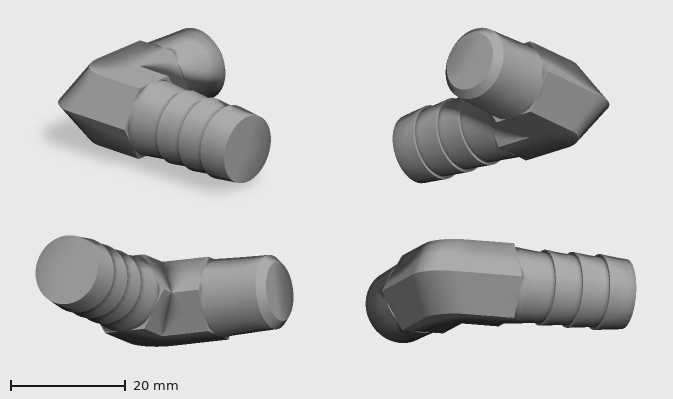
import cadquery as cq
import math


across_flats = 13.33
half_height = across_flats / 2
half_width_corner = across_flats / math.sqrt(3)
half_width_flat = half_width_corner / 2
barb_arm_length = 10.75
thread_arm_length = 12.9
bend_radius = 5.37

barb_end = 40.4 - half_width_corner
collar_length = 1.0
collar_radius = 6.75
barb_radius = 6.65
barb_neck_radius = 6.15
barb_pitch = 5.1
barb_count = 3

thread_end = 32.65 - half_width_corner
thread_base_radius = 6.85
thread_tip_radius = 6.55
thread_chamfer = 1.35


def elbow_outline(plane, half_width):
    """L-shaped section of the body with a rounded outer corner."""
    bend_center = bend_radius - half_width
    bend_mid = bend_center - bend_radius / math.sqrt(2)
    return (
        plane.moveTo(barb_arm_length, -half_width)
        .lineTo(barb_arm_length, half_width)
        .lineTo(half_width, half_width)
        .lineTo(half_width, thread_arm_length)
        .lineTo(-half_width, thread_arm_length)
        .lineTo(-half_width, bend_center)
        .threePointArc((bend_mid, bend_mid), (bend_center, -half_width))
        .close()
    )


def make_body():
    """Widest at mid-height, narrowing in straight slopes to the hexagon flats."""
    middle = elbow_outline(cq.Workplane("XY"), half_width_corner)
    flat_plane = middle.workplane(offset=half_height)
    upper = elbow_outline(flat_plane, half_width_flat).loft(ruled=True)
    return upper.union(upper.mirror("XY"))


def make_hose_barb():
    collar_end = barb_arm_length + collar_length
    first_ridge = barb_end - barb_count * barb_pitch
    profile = (
        cq.Workplane("XY")
        .moveTo(barb_arm_length, 0)
        .lineTo(barb_arm_length, collar_radius)
        .lineTo(collar_end, collar_radius)
        .lineTo(first_ridge, barb_neck_radius)
    )
    for index in range(barb_count):
        ridge = first_ridge + index * barb_pitch
        profile = profile.lineTo(ridge, barb_radius)
        profile = profile.lineTo(ridge + barb_pitch, barb_neck_radius)
    return profile.lineTo(barb_end, 0).close().revolve(360, (0, 0), (1, 0))


def make_threaded_end():
    """Plain taper with a chamfered tip, in place of the cut thread."""
    return (
        cq.Workplane("XY")
        .moveTo(0, thread_arm_length)
        .lineTo(thread_base_radius, thread_arm_length)
        .lineTo(thread_tip_radius, thread_end - thread_chamfer)
        .lineTo(thread_tip_radius - thread_chamfer, thread_end)
        .lineTo(0, thread_end)
        .close()
        .revolve(360, (0, 0), (0, 1))
    )


result = make_body().union(make_hose_barb()).union(make_threaded_end())